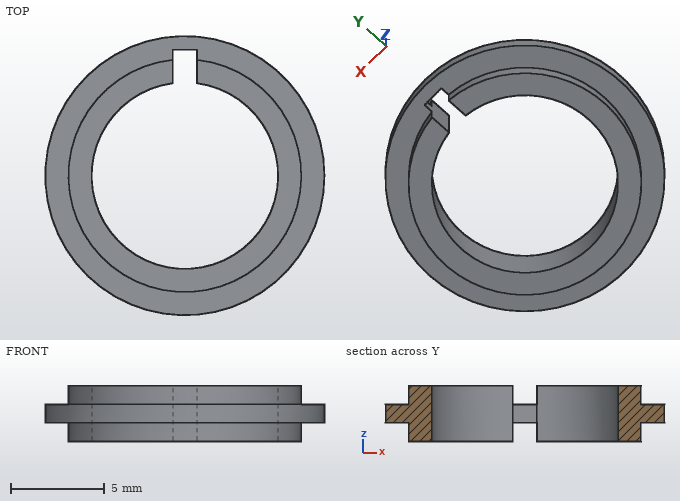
import cadquery as cq

flange_diameter = 15.0
collar_diameter = 12.5
bore_diameter = 10.0
layer_height = 1.0
slot_width = 1.3
slot_end_y = 6.75

total_height = 3 * layer_height


def make_flanged_ring():
    """Collar over the full height, with a flange around its middle third and a through bore."""
    collar = cq.Workplane("XY").circle(collar_diameter / 2).extrude(total_height)
    flange = (
        cq.Workplane("XY")
        .workplane(offset=layer_height)
        .circle(flange_diameter / 2)
        .extrude(layer_height)
    )
    bore = cq.Workplane("XY").circle(bore_diameter / 2).extrude(total_height)
    return collar.union(flange).cut(bore)


def make_key_slot():
    """Full-height slot from the axis toward +Y, splitting the collars but not the flange rim."""
    return (
        cq.Workplane("XY")
        .center(0, slot_end_y / 2)
        .rect(slot_width, slot_end_y)
        .extrude(total_height)
    )


result = make_flanged_ring().cut(make_key_slot())